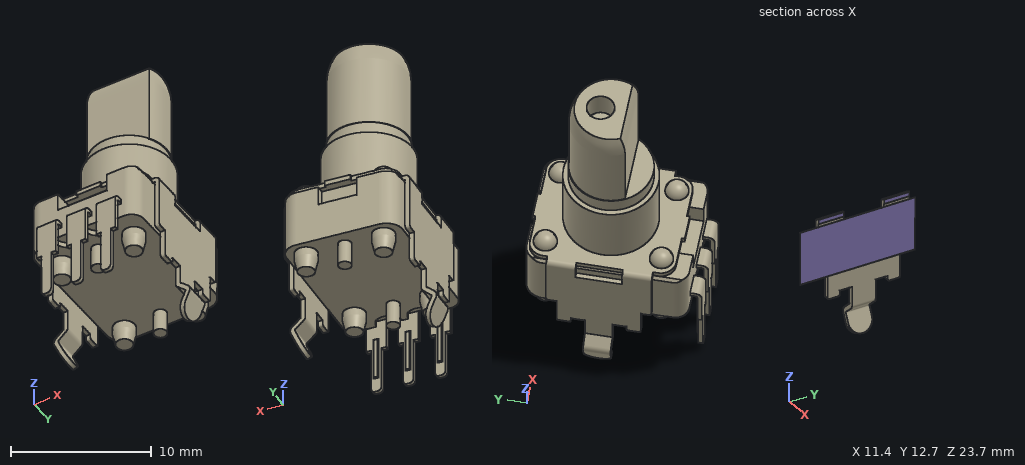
import cadquery as cq
import math


total_height = 23.7

bushing_radius = 3.44
bushing_top = 5.0
shaft_radius = 3.0
collar_radius = 3.05
flat_base = 6.15
flat_offset = 1.5
dome_base = 11.64
shaft_top = 13.1
shaft_hole_radius = 1.0
shaft_hole_y = 0.75
shaft_hole_depth = 2.0

sheet = 0.38
cover_half_x = 4.27
cover_half_y = 5.29
cover_corner = 1.1
edge_tab_half_x = 1.0
edge_tab_reach = 0.21
bracket_outer_x = 4.88
bracket_inner_x = bracket_outer_x - sheet
bend_radius = sheet
side_half_y = 3.82
side_bottom = -4.48
side_corner = 0.21
skirt_half_y = 3.03
skirt_bottom = -6.33
foot_bottom = -6.75
foot_width = 1.02
foot_corner = 0.15
slot_half_y = 1.68
slot_bottom = -1.18
slot_inner_x = 4.45

tongue_half_y = 1.0
tongue_knee = -7.87
outward_slope = 41
outward_length = 0.85
inward_slope = 66.4
elbow_inner_radius = 0.12
tongue_bottom = shaft_top - total_height

body_half_x = bracket_inner_x
body_back = 5.5
body_front = -6.3
body_top = -sheet
body_bottom = -4.85
front_corner = 1.0
back_corner = 1.25
side_chamfer = 0.21
notch_bottom = -1.85
front_notch_half_x = 2.05
back_notch_half_x = 1.5
notch_wall_y = 4.85

rivet_x = 3.0
rivet_y = 4.2
rivet_radius = 0.85
rivet_height = 0.78
peg_taper_top = -5.45
peg_bottom = -6.4
peg_end_radius = 0.65
center_peg_radius = 0.5
center_peg_bottom = -6.68

pin_pitch = 2.5
pin_outer_y = -7.15
pin_sheet = 0.33
pin_top = -3.3
pin_bend_radius = 0.47
pin_width = 1.56
pin_shoulder = -6.4
pin_tip_width = 0.8
pin_tip = -10.0
pin_tip_corner = 0.3
pin_root_depth = 0.47
rib_top = -5.57
rib_bottom = -8.89
rib_width = 0.4
rib_height = 0.12
relief_radius = 1.0
relief_height = 0.45


def block(x_min, x_max, y_min, y_max, z_min, z_max):
    """Box given by its limits along each axis."""
    size = (x_max - x_min, y_max - y_min, z_max - z_min)
    return cq.Workplane("XY").box(*size, centered=False).translate((x_min, y_min, z_min))


def cylinder(radius, x, y, z_min, z_max):
    """Vertical cylinder."""
    return cq.Workplane("XY", origin=(x, y, z_min)).circle(radius).extrude(z_max - z_min)


def mirrored_pair(solid):
    """The solid together with its mirror image across X = 0."""
    return solid.union(solid.mirror("YZ"))


def make_shaft():
    rise = shaft_top - dome_base
    top_inset = shaft_radius - math.sqrt(shaft_radius**2 - rise**2)
    mid_inset = shaft_radius - math.sqrt(shaft_radius**2 - (rise / 2) ** 2)
    shaft = (
        cq.Workplane("XZ")
        .lineTo(shaft_radius, 0)
        .lineTo(shaft_radius, dome_base)
        .threePointArc((shaft_radius - mid_inset, dome_base + rise / 2), (shaft_radius - top_inset, shaft_top))
        .lineTo(0, shaft_top)
        .close()
        .revolve(360, (0, 0, 0), (0, 1, 0))
    )
    flat_cut = (
        cq.Workplane("YZ")
        .moveTo(-2 * shaft_radius, flat_base)
        .lineTo(-flat_offset, flat_base)
        .lineTo(-flat_offset, dome_base)
        .threePointArc((mid_inset - flat_offset, dome_base + rise / 2), (top_inset - flat_offset, shaft_top))
        .lineTo(-2 * shaft_radius, shaft_top)
        .close()
        .extrude(shaft_radius, both=True)
    )
    hole = cylinder(shaft_hole_radius, 0, shaft_hole_y, shaft_top - shaft_hole_depth, shaft_top)
    bushing = cylinder(bushing_radius, 0, 0, 0, bushing_top)
    collar = cylinder(collar_radius, 0, 0, 0, flat_base)
    return shaft.cut(flat_cut).cut(hole).union(collar).union(bushing)


def make_body():
    body = block(-body_half_x, body_half_x, body_front, body_back, body_bottom, body_top)
    body = body.edges("|Z and <Y").fillet(front_corner)
    body = body.edges("|Z and >Y").fillet(back_corner)
    bevel = (
        cq.Workplane("XZ", origin=(0, body_back, 0))
        .moveTo(body_half_x, body_top)
        .lineTo(body_half_x - side_chamfer, body_top)
        .lineTo(body_half_x, body_top - side_chamfer)
        .close()
        .extrude(body_back - body_front)
    )
    body = body.cut(mirrored_pair(bevel))
    body = body.cut(
        block(-front_notch_half_x, front_notch_half_x, body_front, -notch_wall_y, notch_bottom, body_top)
    )
    body = body.cut(
        block(-back_notch_half_x, back_notch_half_x, notch_wall_y, body_back, notch_bottom, body_top)
    )
    for side in (-1, 1):
        relief_x = side * pin_pitch / 2
        body = body.cut(
            cylinder(relief_radius, relief_x, body_front, body_bottom, body_bottom + relief_height)
        )
    return body


def make_tongue_legs():
    """Outward and inward legs of the tongue on the +X side."""
    out = math.radians(outward_slope)
    inward = math.radians(inward_slope)
    out_dir = cq.Vector(math.cos(out), 0, -math.sin(out))
    out_normal = cq.Vector(math.sin(out), 0, math.cos(out))
    in_dir = cq.Vector(-math.cos(inward), 0, -math.sin(inward))
    in_normal = cq.Vector(math.sin(inward), 0, -math.cos(inward))

    knee = cq.Vector(bracket_outer_x, 0, tongue_knee)
    knee_mid = (out_normal + cq.Vector(1, 0, 0)).normalized()
    elbow_outer_radius = elbow_inner_radius + sheet
    elbow_mid = (out_normal + in_normal).normalized()
    elbow = knee + out_dir * outward_length - out_normal * elbow_outer_radius
    leg_start = elbow + in_normal * elbow_inner_radius
    outline = [
        (point.x, point.z)
        for point in (
            knee,
            elbow + out_normal * elbow_outer_radius,
            elbow + elbow_mid * elbow_outer_radius,
            elbow + in_normal * elbow_outer_radius,
            leg_start,
            elbow + elbow_mid * elbow_inner_radius,
            elbow + out_normal * elbow_inner_radius,
            knee - out_normal * sheet,
            knee - knee_mid * sheet,
            knee - cq.Vector(sheet, 0, 0),
        )
    ]
    bends = (
        cq.Workplane("XZ")
        .moveTo(*outline[0])
        .lineTo(*outline[1])
        .threePointArc(outline[2], outline[3])
        .lineTo(*outline[4])
        .threePointArc(outline[5], outline[6])
        .lineTo(*outline[7])
        .threePointArc(outline[8], outline[9])
        .close()
        .extrude(tongue_half_y, both=True)
    )

    leg_length = (leg_start.z + in_normal.z * sheet - tongue_bottom) / math.sin(inward)
    straight = leg_length - tongue_half_y
    inner_face = cq.Plane(origin=leg_start.toTuple(), xDir=in_dir.toTuple(), normal=in_normal.toTuple())
    leg = (
        cq.Workplane(inner_face)
        .moveTo(0, -tongue_half_y)
        .lineTo(straight, -tongue_half_y)
        .threePointArc((leg_length, 0), (straight, tongue_half_y))
        .lineTo(0, tongue_half_y)
        .close()
        .extrude(sheet)
    )
    return bends.union(leg)


def make_side():
    """Side wall of the cover with its feet and snap-in tongue, on the +X side."""

    def wall(half_y, z_min, z_max):
        return block(bracket_inner_x, bracket_outer_x, -half_y, half_y, z_min, z_max)

    bend = block(0, bracket_outer_x, -side_half_y, side_half_y, -sheet, 0)
    side = wall(side_half_y, side_bottom, 0).edges("|X and <Z").fillet(side_corner)
    side = side.union(bend).edges("|Y and >X and >Z").fillet(bend_radius)
    side = side.union(wall(skirt_half_y, skirt_bottom, side_bottom))
    for foot_y in (-skirt_half_y, skirt_half_y - foot_width):
        foot = block(
            bracket_inner_x, bracket_outer_x, foot_y, foot_y + foot_width, foot_bottom, skirt_bottom
        )
        side = side.union(foot.edges("|X and <Z").fillet(foot_corner))
    side = side.union(wall(tongue_half_y, tongue_knee, skirt_bottom))
    side = side.union(make_tongue_legs())
    return side.cut(block(slot_inner_x, bracket_outer_x, -slot_half_y, slot_half_y, slot_bottom, 0))


def make_cover():
    plate = block(-cover_half_x, cover_half_x, -cover_half_y, cover_half_y, -sheet, 0)
    plate = plate.edges("|Z").fillet(cover_corner)
    tab_y = cover_half_y + edge_tab_reach
    tabs = block(-edge_tab_half_x, edge_tab_half_x, -tab_y, tab_y, -sheet, 0)
    return plate.union(tabs).union(mirrored_pair(make_side()))


def make_rivet(x, y):
    """Rivet post through the part, with a domed head on the cover and a tapered peg below the body."""
    dome_center = rivet_height - rivet_radius
    dome = cq.Workplane("XY").sphere(rivet_radius).translate((x, y, dome_center))
    peg = cylinder(rivet_radius, x, y, peg_taper_top, dome_center)
    taper = (
        cq.Workplane("XY", origin=(x, y, peg_taper_top))
        .circle(rivet_radius)
        .workplane(offset=peg_bottom - peg_taper_top)
        .circle(peg_end_radius)
        .loft()
    )
    return dome.union(peg).union(taper)


def make_pin(x):
    """Terminal leaving the body toward -Y and bending down."""
    root_y = body_front + pin_root_depth
    inner_y = pin_outer_y + pin_sheet
    pin = block(x - pin_width / 2, x + pin_width / 2, pin_outer_y, root_y, pin_shoulder, pin_top)
    pin = pin.edges("|X and <Y and >Z").fillet(pin_bend_radius)
    inside = block(x - pin_width / 2, x + pin_width / 2, inner_y, root_y, pin_shoulder, pin_top - pin_sheet)
    pin = pin.cut(inside.edges("|X and <Y and >Z").fillet(pin_bend_radius - pin_sheet))
    tip = block(x - pin_tip_width / 2, x + pin_tip_width / 2, pin_outer_y, inner_y, pin_tip, pin_shoulder)
    tip = tip.edges("|Y and <Z").fillet(pin_tip_corner)
    rib = block(x - rib_width / 2, x + rib_width / 2, inner_y, inner_y + rib_height, rib_bottom, rib_top)
    rib = rib.faces(">Y").edges().chamfer(rib_height / 2)
    return pin.union(tip).union(rib)


result = make_body().union(make_cover()).union(make_shaft())

for rivet_side_x in (-rivet_x, rivet_x):
    for rivet_side_y in (-rivet_y, rivet_y):
        result = result.union(make_rivet(rivet_side_x, rivet_side_y))

for center_peg_y in (-rivet_y, rivet_y):
    result = result.union(cylinder(center_peg_radius, 0, center_peg_y, center_peg_bottom, body_bottom))

for pin_index in (-1, 0, 1):
    result = result.union(make_pin(pin_index * pin_pitch))